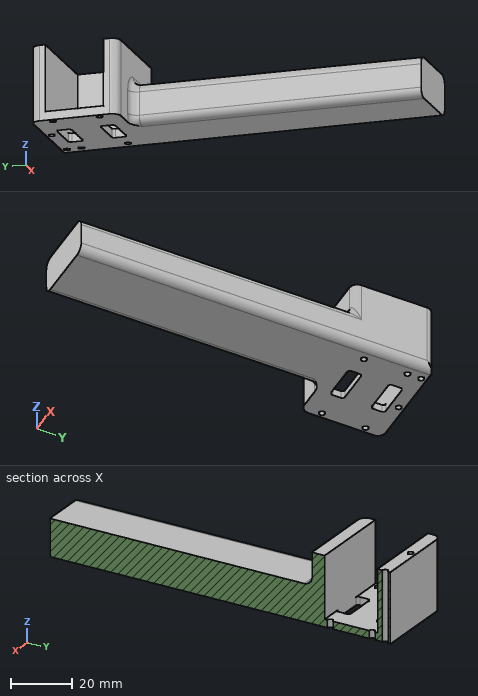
import cadquery as cq

HEAD_LENGTH = 38.0
HEAD_WIDTH = 30.0
HEAD_HEIGHT = 26.0
END_WALL = 4.0
SIDE_WALL = 5.0
FLOOR = 3.0

TOTAL_LENGTH = 130.0
HANDLE_WIDTH = 25.0
HANDLE_HEIGHT = 14.0
EDGE_RADIUS = 3.0

TRIM_DEPTH = 4 * EDGE_RADIUS

HOLE_DIAMETER = 2.0
HOLE_INSET = 2.0
WALL_HOLE_PITCH = 16.0

SLOT_START = 11.6
SLOT_LENGTH = 13.3
SLOT_WIDTH = 5.0
SLOT_RADIUS = 1.0

CAVITY_LENGTH = HEAD_LENGTH - END_WALL
CAVITY_FRONT = SIDE_WALL
CAVITY_BACK = HEAD_WIDTH - SIDE_WALL
HANDLE_LENGTH = TOTAL_LENGTH - HEAD_WIDTH
HANDLE_LEFT = HEAD_LENGTH - HANDLE_WIDTH


def block(x_range, y_range, z_range):
    """Axis-aligned block between the given limits."""
    size = [high - low for low, high in (x_range, y_range, z_range)]
    corner = (x_range[0], y_range[0], z_range[0])
    return cq.Workplane("XY").box(*size, centered=False).translate(corner)


def nearest_edges(body, points):
    """For each point, the edge of the body whose centre is closest to it."""
    targets = [cq.Vector(*point) for point in points]
    edges = body.edges().vals()
    nearest = [min(edges, key=lambda edge: (edge.Center() - target).Length) for target in targets]
    return body.newObject(nearest)


def make_body():
    """Head and handle with rounded outer edges and a fillet where they join.

    A temporary block below the head lets the joint fillet run right round the lower
    -X edge of the handle; cutting it away leaves the underside flat.
    """
    handle_mid_x = HANDLE_LEFT + HANDLE_WIDTH / 2
    handle_mid_y = -HANDLE_LENGTH / 2
    head = block((0, HEAD_LENGTH), (0, HEAD_WIDTH), (0, HEAD_HEIGHT))
    handle = block((HANDLE_LEFT, HEAD_LENGTH), (-HANDLE_LENGTH, 0), (0, HANDLE_HEIGHT))
    below_head = block((0, handle_mid_x), (0, HEAD_WIDTH), (-TRIM_DEPTH, 0))
    body = head.union(handle).union(below_head).clean()

    left_mid_z = (HEAD_HEIGHT - TRIM_DEPTH) / 2
    outer_edges = [
        (0, 0, left_mid_z),
        (0, HEAD_WIDTH, left_mid_z),
        (HEAD_LENGTH, HEAD_WIDTH, HEAD_HEIGHT / 2),
        (HEAD_LENGTH, 0, (HANDLE_HEIGHT + HEAD_HEIGHT) / 2),
        (HANDLE_LEFT, handle_mid_y, 0),
        (HANDLE_LEFT, handle_mid_y, HANDLE_HEIGHT),
        (HEAD_LENGTH, handle_mid_y, HANDLE_HEIGHT),
        (HEAD_LENGTH, (HEAD_WIDTH - HANDLE_LENGTH) / 2, 0),
    ]
    body = nearest_edges(body, outer_edges).fillet(EDGE_RADIUS)

    joint_edge = (handle_mid_x, 0, HANDLE_HEIGHT)
    body = nearest_edges(body, [joint_edge]).fillet(EDGE_RADIUS)

    below_body = block((0, HEAD_LENGTH), (-HANDLE_LENGTH, HEAD_WIDTH), (-TRIM_DEPTH, 0))
    return body.cut(below_body).clean()


def make_cavity():
    """Pocket above the floor, open at the top and at the -X end."""
    return block((0, CAVITY_LENGTH), (CAVITY_FRONT, CAVITY_BACK), (FLOOR, HEAD_HEIGHT))


def make_holes():
    """Four holes near the floor corners and two along the +Y wall, all vertical."""
    near_x = HOLE_INSET
    far_x = CAVITY_LENGTH - HOLE_INSET
    floor_rows = (CAVITY_FRONT + HOLE_INSET, CAVITY_BACK - HOLE_INSET)
    wall_y = HEAD_WIDTH - HOLE_INSET
    floor_points = [(x, y) for x in (near_x, far_x) for y in floor_rows]
    wall_points = [(x, wall_y) for x in (far_x - WALL_HOLE_PITCH, far_x)]
    holes = cq.Workplane("XY").pushPoints(floor_points + wall_points)
    return holes.circle(HOLE_DIAMETER / 2).extrude(HEAD_HEIGHT)


def make_slot(y_start):
    """Round-cornered slot through the floor."""
    slot = block(
        (SLOT_START, SLOT_START + SLOT_LENGTH),
        (y_start, y_start + SLOT_WIDTH),
        (0, FLOOR),
    )
    return slot.edges("|Z").fillet(SLOT_RADIUS)


result = make_body().cut(make_cavity()).cut(make_holes())
for slot_y in (CAVITY_FRONT, CAVITY_BACK - SLOT_WIDTH):
    result = result.cut(make_slot(slot_y))